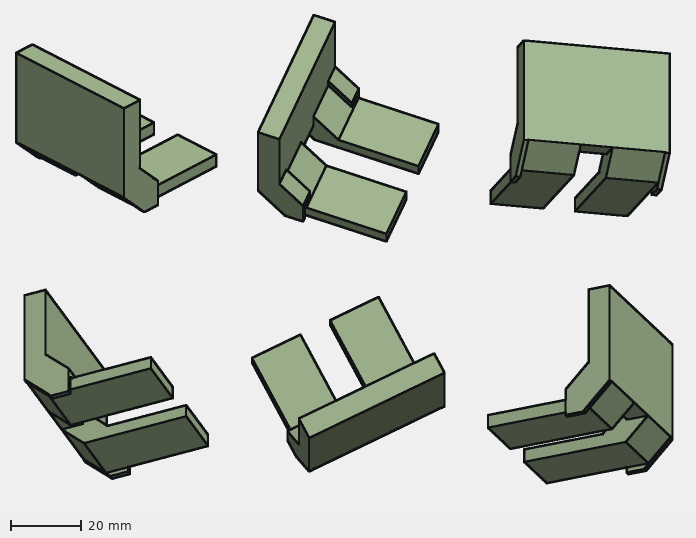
import cadquery as cq

width = 43.3
depth = 38.8
height = 38.2

plate_thickness = 6.6
plate_bottom = 8.5

arm_inset = 1.4
slot_width = 9.45
arm_bottom = 1.5
arm_thickness = 4.0
arm_top = arm_bottom + arm_thickness
arm_bend_y = 14.3

cheek_width = 5.35
cheek_depth = 13.8
cheek_shoulder = 8.05
cheek_slope_top = 8.3

arm_width = (width - slot_width) / 2 - arm_inset


def extrude_along_x(points, x_start, length):
    """Extrude a closed (Y, Z) outline along +X from x_start."""
    return cq.Workplane("YZ", origin=(x_start, 0, 0)).polyline(points).close().extrude(length)


plate_outline = [
    (0, plate_bottom),
    (plate_thickness, plate_bottom),
    (plate_thickness, height),
    (0, height),
]

arm_outline = [
    (0, plate_bottom),
    (plate_bottom - arm_bottom, arm_bottom),
    (depth, arm_bottom),
    (depth, arm_top),
    (arm_bend_y, arm_top),
    (plate_thickness, arm_top + arm_bend_y - plate_thickness),
    (0, arm_top + arm_bend_y - plate_thickness),
]

cheek_outline = [
    (0, cheek_slope_top),
    (cheek_slope_top, 0),
    (cheek_depth, 0),
    (cheek_depth, cheek_shoulder),
    (plate_thickness, cheek_shoulder + cheek_depth - plate_thickness),
    (0, cheek_shoulder + cheek_depth - plate_thickness),
]

gusset_outline = [
    (plate_thickness, arm_top + arm_bend_y - plate_thickness),
    (cheek_depth, arm_top + arm_bend_y - cheek_depth),
    (cheek_depth, cheek_shoulder),
    (plate_thickness, cheek_shoulder + cheek_depth - plate_thickness),
]

result = extrude_along_x(plate_outline, -width / 2, width)

left_side = (
    extrude_along_x(arm_outline, arm_inset - width / 2, arm_width)
    .union(extrude_along_x(cheek_outline, -width / 2, arm_inset))
    .union(extrude_along_x(gusset_outline, -width / 2, cheek_width))
)
result = result.union(left_side).union(left_side.mirror("YZ"))